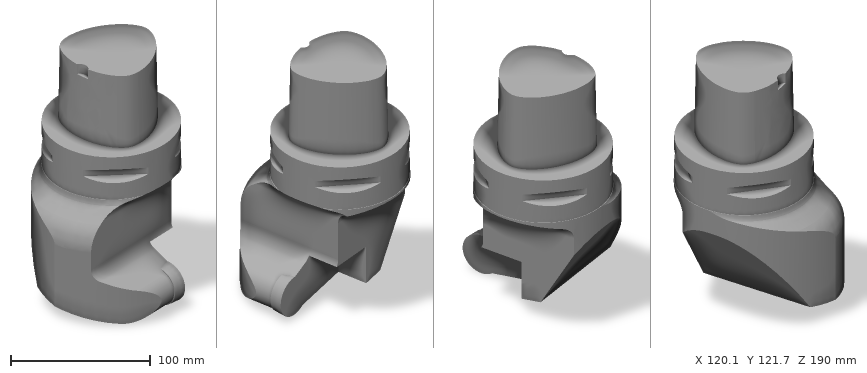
import cadquery as cq
import math


SHANK_HEIGHT = 60.2
SHANK_BASE_RADIUS = 35.7
SHANK_TOP_RADIUS = 34.5
LOBE_RISE = 2.8
LOBE_HALF_ANGLE = 26.0
LOBE_COUNT = 3
SPLINE_STEPS = 8

NOTCH_RADIUS = 6.0
NOTCH_CENTER_Y = -34.5
NOTCH_DEPTH = 8.2

FLANGE_RADIUS = 100.0 / 2
FLANGE_HEIGHT = 35.7
SLOT_COUNT = 4
SLOT_FLOOR_DISTANCE = 44.0
SLOT_CENTER_Z = -16.1
SLOT_FLOOR_HEIGHT = 5.3
SLOT_MOUTH_HEIGHT = 11.5

HEAD_RADIUS = 50.3
SWEEP_RADIUS = 71.8
PLAN_CORNER_X = 8.0
FLANK_START_Y = -5.0

NECK_ARC_END = (52.0, -39.9)
NECK_ARC_RADIUS = 5.0
CONE_END = (63.0, -49.4)
SHOULDER_END_Z = -68.2

BOTTOM_CORNER = (-14.6, -116.8)
LEFT_SLOPE_ANGLE = 60.0
WAIST_X = 35.0
WAIST_TOP_Z = -33.8
ARM_SLOPE_ANGLE = 25.0
INNER_FILLET = 10.0

BACK_Y = 25.0
BACK_RIM_Z = -37.5
BACK_SLOPE_ANGLE = 15.0

INSERT_RADIUS = 16.0
INSERT_BACK_RADIUS = 15.0
INSERT_THICKNESS = 9.9
INSERT_X = 53.8
INSERT_Z = SHANK_HEIGHT - 190 + INSERT_RADIUS
NOSE_RADIUS = 14.0
POCKET_WALL_X = 1.9
POCKET_ROOF_Z = -88.3

REACH = 190.0


def tan_deg(angle):
    return math.tan(math.radians(angle))


def polar(radius, angle):
    return (radius * math.cos(math.radians(angle)), radius * math.sin(math.radians(angle)))


def lobed_point(mean_radius, angle, z):
    """Point of the lobed outline whose outward normal has this angle."""
    phase = math.radians(LOBE_COUNT * (angle - 90))
    support = mean_radius + LOBE_RISE * math.cos(phase)
    slope = -LOBE_COUNT * LOBE_RISE * math.sin(phase)
    normal_x, normal_y = polar(1, angle)
    return cq.Vector(support * normal_x - slope * normal_y, support * normal_y + slope * normal_x, z)


def lobed_edge(mean_radius, start, end, z):
    step = (end - start) / SPLINE_STEPS
    points = [lobed_point(mean_radius, start + i * step, z) for i in range(SPLINE_STEPS + 1)]
    tangents = [cq.Vector(*polar(1, angle + 90)) for angle in (start, end)]
    return cq.Edge.makeSpline(points, tangents=tangents)


def lobed_wire(mean_radius, z):
    pitch = 360 / LOBE_COUNT
    edges = []
    for i in range(LOBE_COUNT):
        lobe = 90 + i * pitch
        lobe_end = lobe + LOBE_HALF_ANGLE
        edges.append(lobed_edge(mean_radius, lobe - LOBE_HALF_ANGLE, lobe_end, z))
        edges.append(lobed_edge(mean_radius, lobe_end, lobe + pitch - LOBE_HALF_ANGLE, z))
    return cq.Wire.assembleEdges(edges)


def make_shank():
    base = lobed_wire(SHANK_BASE_RADIUS, 0)
    end = lobed_wire(SHANK_TOP_RADIUS, SHANK_HEIGHT)
    shank = cq.Workplane(cq.Solid.makeLoft([base, end], True))
    notch = (
        cq.Workplane("XY", origin=(0, NOTCH_CENTER_Y, SHANK_HEIGHT - NOTCH_DEPTH))
        .circle(NOTCH_RADIUS)
        .extrude(NOTCH_DEPTH)
    )
    return shank.cut(notch)


def make_flange():
    flange = cq.Workplane("XY").circle(FLANGE_RADIUS).extrude(-FLANGE_HEIGHT)
    floor = SLOT_FLOOR_HEIGHT / 2
    mouth = SLOT_MOUTH_HEIGHT / 2
    slot = (
        cq.Workplane("XZ", origin=(0, 0, SLOT_CENTER_Z))
        .polyline([
            (SLOT_FLOOR_DISTANCE, -floor),
            (FLANGE_RADIUS, -mouth),
            (FLANGE_RADIUS, mouth),
            (SLOT_FLOOR_DISTANCE, floor),
        ])
        .close()
        .extrude(FLANGE_RADIUS, both=True)
    )
    for i in range(SLOT_COUNT):
        angle = (i + 0.5) * 360 / SLOT_COUNT
        flange = flange.cut(slot.rotate((0, 0, 0), (0, 0, 1), angle))
    return flange


def make_head_plan():
    """Full-depth block with the plan outline of the head."""
    corner_y = -math.sqrt(SWEEP_RADIUS**2 - PLAN_CORNER_X**2)
    arm_x = INSERT_X + NOSE_RADIUS
    arm_y = -math.sqrt(SWEEP_RADIUS**2 - arm_x**2)
    sweep_middle = (math.degrees(math.atan2(corner_y, PLAN_CORNER_X))
                    + math.degrees(math.atan2(arm_y, arm_x))) / 2
    return (
        cq.Workplane("XY", origin=(0, 0, -FLANGE_HEIGHT))
        .moveTo(HEAD_RADIUS, 0)
        .threePointArc((0, HEAD_RADIUS), (-HEAD_RADIUS, 0))
        .lineTo(-HEAD_RADIUS, FLANK_START_Y)
        .tangentArcPoint((PLAN_CORNER_X, corner_y), relative=False)
        .threePointArc(polar(SWEEP_RADIUS, sweep_middle), (arm_x, arm_y))
        .lineTo(arm_x, 0)
        .close()
        .extrude(-REACH)
    )


def make_shoulder_envelope():
    """Round envelope: concave neck, cone, convex shoulder, then straight down."""
    cone_angle = math.atan2(CONE_END[1] - NECK_ARC_END[1], CONE_END[0] - NECK_ARC_END[0])
    bisector = cone_angle / 2 - math.pi / 4
    neck_center_x = HEAD_RADIUS + NECK_ARC_RADIUS
    neck_center_z = -FLANGE_HEIGHT
    neck_middle = (
        neck_center_x + NECK_ARC_RADIUS * math.cos(bisector - math.pi / 2),
        neck_center_z + NECK_ARC_RADIUS * math.sin(bisector - math.pi / 2),
    )
    return (
        cq.Workplane("XZ")
        .moveTo(0, -FLANGE_HEIGHT)
        .lineTo(HEAD_RADIUS, -FLANGE_HEIGHT)
        .threePointArc(neck_middle, NECK_ARC_END)
        .lineTo(*CONE_END)
        .tangentArcPoint((SWEEP_RADIUS, SHOULDER_END_Z), relative=False)
        .lineTo(SWEEP_RADIUS, -REACH)
        .lineTo(0, -REACH)
        .close()
        .revolve(360, (0, 0, 0), (0, 1, 0))
    )


def make_front_envelope():
    """Outline across X, extruded along Y: slanted flank, waist and arm."""
    wall_x = HEAD_RADIUS
    waist_corner_z = WAIST_TOP_Z - (wall_x - WAIST_X) * tan_deg(ARM_SLOPE_ANGLE)
    nose_dx, nose_dz = polar(NOSE_RADIUS, 90 - ARM_SLOPE_ANGLE)
    arm_top = (INSERT_X + nose_dx, INSERT_Z + nose_dz)
    arm_corner_z = arm_top[1] + (arm_top[0] - WAIST_X) * tan_deg(ARM_SLOPE_ANGLE)

    to_nose_x = INSERT_X - BOTTOM_CORNER[0]
    to_nose_z = INSERT_Z - BOTTOM_CORNER[1]
    bottom_angle = math.degrees(
        math.atan2(to_nose_z, to_nose_x) - math.asin(NOSE_RADIUS / math.hypot(to_nose_x, to_nose_z))
    )
    nose_dx, nose_dz = polar(NOSE_RADIUS, bottom_angle - 90)
    arm_bottom = (INSERT_X + nose_dx, INSERT_Z + nose_dz)
    left_z = BOTTOM_CORNER[1] + (BOTTOM_CORNER[0] + HEAD_RADIUS) * tan_deg(LEFT_SLOPE_ANGLE)

    envelope = (
        cq.Workplane("XZ")
        .moveTo(-HEAD_RADIUS, 0)
        .lineTo(wall_x, 0)
        .lineTo(wall_x, WAIST_TOP_Z)
        .lineTo(WAIST_X, waist_corner_z)
        .lineTo(WAIST_X, arm_corner_z)
        .lineTo(*arm_top)
        .threePointArc((INSERT_X + NOSE_RADIUS, INSERT_Z), arm_bottom)
        .lineTo(*BOTTOM_CORNER)
        .lineTo(-HEAD_RADIUS, left_z)
        .close()
        .extrude(REACH, both=True)
    )
    for corner_z in (waist_corner_z, arm_corner_z):
        corner = cq.selectors.NearestToPointSelector((WAIST_X, 0, corner_z))
        envelope = envelope.edges("|Y").edges(corner).fillet(INNER_FILLET)
    return envelope


def make_back_relief():
    """Space cut away behind the head, under a sloping rim."""
    corner_z = BACK_RIM_Z - (HEAD_RADIUS - BACK_Y) * tan_deg(BACK_SLOPE_ANGLE)
    corner = cq.selectors.NearestToPointSelector((0, BACK_Y, corner_z))
    return (
        cq.Workplane("YZ")
        .polyline([
            (HEAD_RADIUS, BACK_RIM_Z),
            (BACK_Y, corner_z),
            (BACK_Y, -REACH),
            (HEAD_RADIUS, -REACH),
        ])
        .close()
        .extrude(REACH, both=True)
        .edges("|X")
        .edges(corner)
        .fillet(INNER_FILLET)
    )


def make_chip_pocket():
    return cq.Workplane("XY").box(REACH, REACH, REACH, centered=False).translate(
        (POCKET_WALL_X, 0, POCKET_ROOF_Z - REACH)
    )


def make_insert():
    """Round tapered insert, with its larger face at Y = 0."""
    return cq.Workplane(cq.Solid.makeCone(
        INSERT_RADIUS,
        INSERT_BACK_RADIUS,
        INSERT_THICKNESS,
        pnt=cq.Vector(INSERT_X, 0, INSERT_Z),
        dir=cq.Vector(0, -1, 0),
    ))


def make_holder(insert):
    head = make_head_plan().intersect(make_shoulder_envelope())
    lower = make_flange().union(head).intersect(make_front_envelope())
    lower = lower.cut(make_back_relief()).cut(make_chip_pocket())
    return lower.union(make_shank()).cut(insert)


insert = make_insert()
holder = make_holder(insert)
result = cq.Compound.makeCompound([holder.solids().val(), insert.val()])